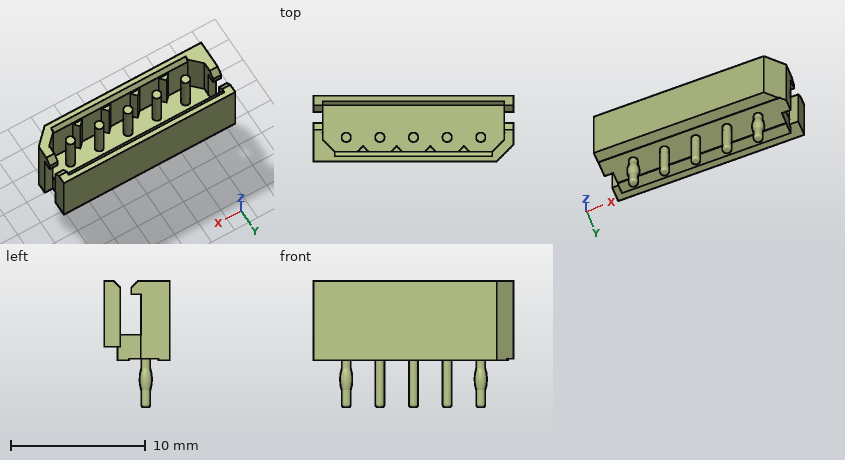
import cadquery as cq
import math


LENGTH = 14.9
HEIGHT = 5.9
FRONT_Y = -1.8
REAR_Y = 3.1
END_WALL = 0.7
CORNER_CHAMFER = 1.28

FLOOR_Z = 1.9
BASE_REAR_Y = 2.1
FOOT_HEIGHT = 0.1
FOOT_DEPTH = 0.87

FRONT_WALL = 0.73
END_WALL_REAR_Y = 0.36
HOOK_REACH = 0.72
HOOK_DEPTH = 1.0
GUIDE_BEVEL = 0.5

REAR_WALL = 0.72
TAB_DEPTH = 1.22
REAR_BOTTOM_Z = 1.0

CAVITY_CHAMFER = 0.9
MOUTH_BEVEL = 0.32

RIB_HEIGHT = 0.43
RIB_HALF_WIDTH = 0.41
RIB_TOP_Z = 5.36

PIN_COUNT = 5
PIN_PITCH = 2.5
PIN_RADIUS = 0.35
PIN_TOP_Z = 5.36
PIN_TIP_Z = -3.5
TIP_ROUND = 0.2
BULGE_RADIUS = 0.47
BULGE_TOP_Z = -0.63
BULGE_BOTTOM_Z = -2.2

half_length = LENGTH / 2
cavity_half = half_length - END_WALL
cavity_front_y = FRONT_Y + FRONT_WALL
cavity_rear_y = REAR_Y - REAR_WALL
cavity_front_half = cavity_half - CAVITY_CHAMFER
hook_tip_y = END_WALL_REAR_Y + HOOK_REACH
tab_front_y = REAR_Y - TAB_DEPTH
first_pin_x = -PIN_PITCH * (PIN_COUNT - 1) / 2


def along_x(profile, half_width):
    """Extrude a closed (Y, Z) outline symmetrically about X = 0."""
    return cq.Workplane("YZ").polyline(profile).close().extrude(half_width, both=True)


def front_part():
    """Full-length front block with the hook profile, before the cavity is cut."""
    return along_x([
        (FRONT_Y, 0),
        (END_WALL_REAR_Y, 0),
        (END_WALL_REAR_Y, HEIGHT - HOOK_DEPTH),
        (hook_tip_y, HEIGHT - HOOK_DEPTH),
        (hook_tip_y, HEIGHT - GUIDE_BEVEL),
        (hook_tip_y - GUIDE_BEVEL, HEIGHT),
        (FRONT_Y, HEIGHT),
    ], half_length)


def rear_part():
    """Full-length rear block with the tab profile, before the cavity is cut."""
    return along_x([
        (REAR_Y, REAR_BOTTOM_Z),
        (tab_front_y, REAR_BOTTOM_Z),
        (tab_front_y, HEIGHT - GUIDE_BEVEL),
        (tab_front_y + GUIDE_BEVEL, HEIGHT),
        (REAR_Y, HEIGHT),
    ], half_length)


def base():
    """Floor block between the end walls, joined to the underside of the rear part."""
    return along_x([
        (FRONT_Y, 0),
        (BASE_REAR_Y, 0),
        (BASE_REAR_Y, REAR_BOTTOM_Z),
        (cavity_rear_y, REAR_BOTTOM_Z),
        (cavity_rear_y, FLOOR_Z),
        (FRONT_Y, FLOOR_Z),
    ], cavity_half)


def cavity():
    """Space above the floor, with chamfered front corners."""
    return (
        cq.Workplane("XY").workplane(offset=FLOOR_Z)
        .polyline([
            (-cavity_front_half, cavity_front_y),
            (cavity_front_half, cavity_front_y),
            (cavity_half, cavity_front_y + CAVITY_CHAMFER),
            (cavity_half, cavity_rear_y),
            (-cavity_half, cavity_rear_y),
            (-cavity_half, cavity_front_y + CAVITY_CHAMFER),
        ])
        .close().extrude(HEIGHT - FLOOR_Z)
    )


def mouth_bevel(wall_y, outward, half_width):
    """Triangular wedge that bevels the top inner edge of a wall."""
    return along_x([
        (wall_y, HEIGHT),
        (wall_y, HEIGHT - MOUTH_BEVEL),
        (wall_y + outward * MOUTH_BEVEL, HEIGHT),
    ], half_width)


def underside_recess():
    """Shallow channel along X that leaves a front and a rear foot."""
    front = FRONT_Y + FOOT_DEPTH
    rear = BASE_REAR_Y - FOOT_DEPTH
    return along_x([(front, 0), (rear, 0), (rear, FOOT_HEIGHT), (front, FOOT_HEIGHT)], half_length)


def key_corner():
    """Vertical wedge removed from the +X front corner."""
    return (
        cq.Workplane("XY")
        .polyline([
            (half_length, FRONT_Y),
            (half_length, FRONT_Y + CORNER_CHAMFER),
            (half_length - CORNER_CHAMFER, FRONT_Y),
        ])
        .close().extrude(HEIGHT)
    )


def rib(x):
    """Triangular rib standing on the floor against the front wall."""
    return (
        cq.Workplane("XY").workplane(offset=FLOOR_Z)
        .polyline([
            (x - RIB_HALF_WIDTH, cavity_front_y),
            (x + RIB_HALF_WIDTH, cavity_front_y),
            (x, cavity_front_y + RIB_HEIGHT),
        ])
        .close().extrude(RIB_TOP_Z - FLOOR_Z)
    )


def pin(x, has_bulge):
    """Round pin with a rounded lower tip and, on request, a barrel-shaped bulge."""
    tip_inset = TIP_ROUND * (1 - math.sqrt(0.5))
    outline = (
        cq.Workplane("XZ").moveTo(0, PIN_TIP_Z)
        .lineTo(PIN_RADIUS - TIP_ROUND, PIN_TIP_Z)
        .threePointArc(
            (PIN_RADIUS - tip_inset, PIN_TIP_Z + tip_inset),
            (PIN_RADIUS, PIN_TIP_Z + TIP_ROUND),
        )
    )
    if has_bulge:
        bulge_middle_z = (BULGE_TOP_Z + BULGE_BOTTOM_Z) / 2
        outline = (
            outline.lineTo(PIN_RADIUS, BULGE_BOTTOM_Z)
            .threePointArc((BULGE_RADIUS, bulge_middle_z), (PIN_RADIUS, BULGE_TOP_Z))
        )
    outline = outline.lineTo(PIN_RADIUS, PIN_TOP_Z).lineTo(0, PIN_TOP_Z).close()
    return outline.revolve(360, (0, 0, 0), (0, 1, 0)).translate((x, 0, 0))


housing = front_part().union(rear_part()).cut(cavity()).union(base())
housing = housing.cut(mouth_bevel(cavity_front_y, -1, cavity_front_half))
housing = housing.cut(mouth_bevel(cavity_rear_y, 1, cavity_half))
housing = housing.cut(underside_recess()).cut(key_corner())

for gap in range(PIN_COUNT - 1):
    housing = housing.union(rib(first_pin_x + (gap + 0.5) * PIN_PITCH))

result = housing
for index in range(PIN_COUNT):
    is_end_pin = index in (0, PIN_COUNT - 1)
    result = result.union(pin(first_pin_x + index * PIN_PITCH, is_end_pin))